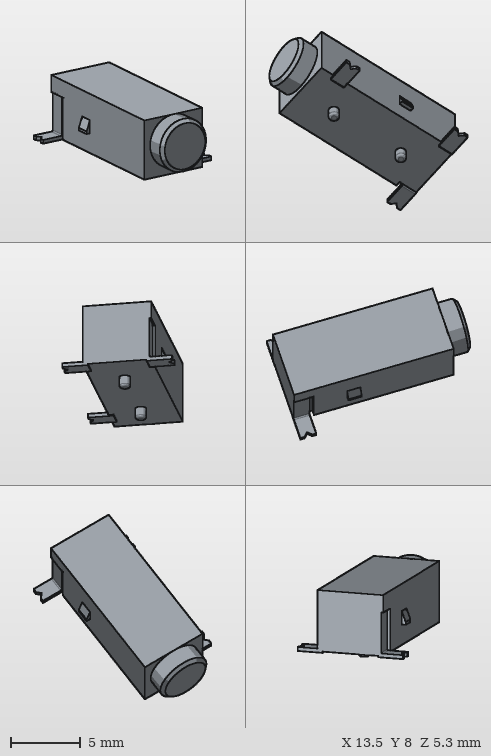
import cadquery as cq

body_length = 12.0
body_width = 5.0
body_height = 4.5
side_y = body_width / 2

total_length = 13.5
nose_diameter = 4.0
nose_chamfer = 0.25

pin_diameter = 0.8
total_height = 5.3
pin_length = total_height - body_height
pin_round = 0.2
pin_positions = (3.0, 9.0)

catch_x = 4.0
catch_width = 1.0
catch_reach = 0.3
catch_bottom = 1.5
catch_lip_top = 1.7
catch_top = 2.5

terminal_width = 1.2
terminal_thickness = 0.3
terminal_drop = 0.1
terminal_span = 8.0
terminal_upright = 0.25
bend_radius = 0.1
notch_depth = 0.3
rear_terminal_positions = (0, 9.7)
terminal_tip = terminal_span / 2
terminal_top = terminal_thickness - terminal_drop

recess_length = 1.5
recess_height = 3.2
recess_depth = 0.38
terminal_root = side_y - recess_depth


def make_housing():
    housing = cq.Workplane("XY").box(
        body_length, body_width, body_height, centered=(False, True, False)
    )
    recess = (
        cq.Workplane("XY")
        .box(recess_length, recess_depth, recess_height, centered=False)
        .translate((0, -side_y, 0))
    )
    return housing.cut(recess)


def make_nose():
    nose_center_z = body_height - nose_diameter / 2
    return (
        cq.Workplane("YZ", origin=(body_length, 0, nose_center_z))
        .circle(nose_diameter / 2)
        .extrude(total_length - body_length)
        .faces(">X")
        .chamfer(nose_chamfer)
    )


def make_pin(x):
    return (
        cq.Workplane("XY", origin=(x, 0, 0))
        .circle(pin_diameter / 2)
        .extrude(-pin_length)
        .faces("<Z")
        .edges()
        .fillet(pin_round)
    )


def make_catch():
    """Catch on the +Y side: sloping face above, short upright lip below."""
    outer_y = side_y + catch_reach
    return (
        cq.Workplane("YZ", origin=(catch_x, 0, 0))
        .moveTo(side_y, catch_bottom)
        .lineTo(outer_y, catch_bottom)
        .lineTo(outer_y, catch_lip_top)
        .lineTo(side_y, catch_top)
        .close()
        .extrude(catch_width)
    )


def make_flat_terminal(x):
    """Flat terminal pointing toward +Y, with a V notch in its tip."""
    notch_center = terminal_width / 2
    return (
        cq.Workplane("XY", origin=(x, 0, -terminal_drop))
        .moveTo(0, terminal_root)
        .lineTo(terminal_width, terminal_root)
        .lineTo(terminal_width, terminal_tip)
        .lineTo(notch_center + notch_depth, terminal_tip)
        .lineTo(notch_center, terminal_tip - notch_depth)
        .lineTo(notch_center - notch_depth, terminal_tip)
        .lineTo(0, terminal_tip)
        .close()
        .extrude(terminal_thickness)
    )


def make_bent_terminal():
    """Front terminal: a flat foot and an upright joined by a rounded bend."""
    upright = (
        cq.Workplane("XY")
        .box(terminal_width, terminal_upright, recess_height + terminal_drop, centered=False)
        .translate((0, -terminal_root - terminal_upright, -terminal_drop))
    )
    terminal = make_flat_terminal(0).mirror("XZ").union(upright)
    inner_bend = cq.selectors.NearestToPointSelector(
        (terminal_width / 2, -terminal_root - terminal_upright, terminal_top)
    )
    outer_bend = cq.selectors.NearestToPointSelector(
        (terminal_width / 2, -terminal_root, -terminal_drop)
    )
    return terminal.edges(inner_bend).fillet(bend_radius).edges(outer_bend).fillet(bend_radius)


result = make_housing().union(make_nose()).union(make_bent_terminal())

for pin_x in pin_positions:
    result = result.union(make_pin(pin_x))

catch = make_catch()
result = result.union(catch).union(catch.mirror("XZ"))

for terminal_x in rear_terminal_positions:
    result = result.union(make_flat_terminal(terminal_x))